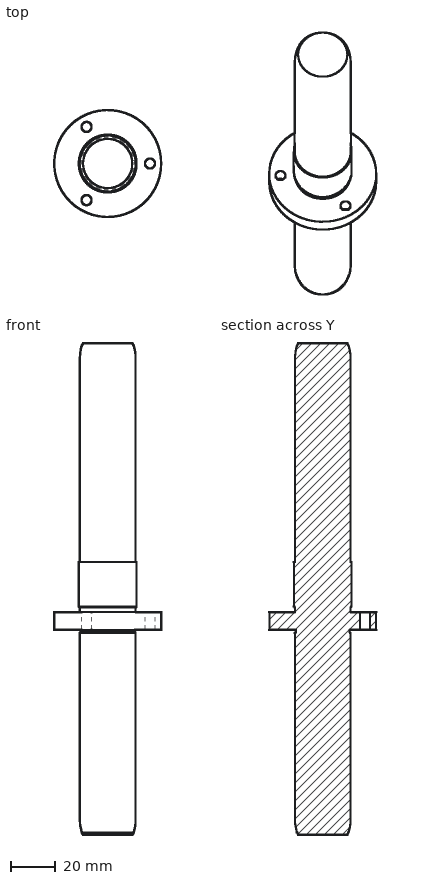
import cadquery as cq
import math

length = 220.0
shaft_radius = 12.5

lead_length = 6.4
lead_radius = 11.7
end_chamfer_height = 1.0
end_face_radius = 11.0

flange_radius = 24.0
flange_bottom = 91.7
flange_top = 99.7

seat_radius = 13.0
seat_bottom = 102.0
seat_top = 122.0
seat_chamfer = 0.5

relief_depth = 0.5
relief_height = 1.3

hole_count = 3
hole_diameter = 4.5
hole_circle_radius = 19.0


def lead_midpoint():
    """Radius and distance from the shaft end halfway along the lead-in arc.

    The arc starts tangent to the cylindrical shaft surface.
    """
    rise = lead_length - end_chamfer_height
    drop = shaft_radius - lead_radius
    arc_radius = (rise**2 + drop**2) / (2 * drop)
    half_angle = math.asin(rise / arc_radius) / 2
    mid_radius = shaft_radius - arc_radius * (1 - math.cos(half_angle))
    mid_distance = lead_length - arc_radius * math.sin(half_angle)
    return mid_radius, mid_distance


def make_body():
    """Revolve the half section, drawn as (radius, height), about Z."""
    mid_radius, mid_distance = lead_midpoint()
    relief_radius = shaft_radius - relief_depth
    relief_bottom = flange_bottom - relief_height
    section = (
        cq.Workplane("XZ")
        .moveTo(0, 0)
        .lineTo(end_face_radius, 0)
        .lineTo(lead_radius, end_chamfer_height)
        .threePointArc((mid_radius, mid_distance), (shaft_radius, lead_length))
        .lineTo(shaft_radius, relief_bottom)
        .lineTo(relief_radius, relief_bottom + relief_depth)
        .lineTo(relief_radius, flange_bottom)
        .lineTo(flange_radius, flange_bottom)
        .lineTo(flange_radius, flange_top)
        .lineTo(shaft_radius, flange_top)
        .lineTo(shaft_radius, seat_bottom - seat_chamfer)
        .lineTo(seat_radius, seat_bottom)
        .lineTo(seat_radius, seat_top)
        .lineTo(shaft_radius, seat_top)
        .lineTo(shaft_radius, length - lead_length)
        .threePointArc((mid_radius, length - mid_distance), (lead_radius, length - end_chamfer_height))
        .lineTo(end_face_radius, length)
        .lineTo(0, length)
        .close()
    )
    return section.revolve(360, (0, 0, 0), (0, 1, 0))


def make_flange_holes():
    """Through holes equally spaced on the flange, the first on +X."""
    return (
        cq.Workplane("XY")
        .workplane(offset=flange_bottom)
        .polarArray(hole_circle_radius, 0, 360, hole_count)
        .circle(hole_diameter / 2)
        .extrude(flange_top - flange_bottom)
    )


result = make_body().cut(make_flange_holes())